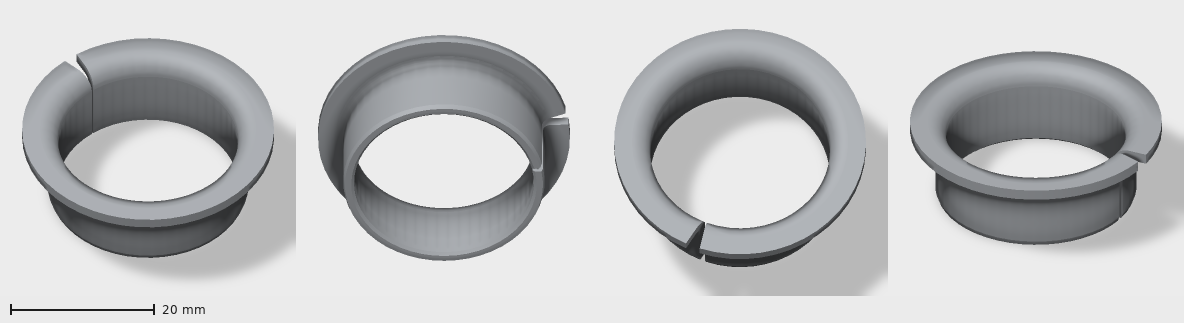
import cadquery as cq
import math

flange_radius = 17.5
sleeve_radius = 14.0
wall = 1.5
height = 11.5

bend_outer_radius = 1.0
bend_inner_radius = bend_outer_radius + wall

outer_chamfer_height = 0.7
outer_chamfer_width = 0.25
inner_chamfer = 0.4

split_width_at_bore = 0.35
split_half_angle = 9.7

bore_radius = sleeve_radius - wall
flange_bottom = height - wall
bend_centre_radius = sleeve_radius + bend_outer_radius
bend_centre_height = flange_bottom - bend_outer_radius


def bend_point(radius):
    """Midpoint of a bend arc, on the diagonal towards the bore and the top."""
    offset = radius * math.sqrt(0.5)
    return (bend_centre_radius - offset, bend_centre_height + offset)


def flanged_sleeve():
    """Revolve the wall section, drawn as (radius, height), around Z."""
    section = (
        cq.Workplane("XZ")
        .moveTo(bore_radius + inner_chamfer, 0)
        .lineTo(sleeve_radius - outer_chamfer_width, 0)
        .lineTo(sleeve_radius, outer_chamfer_height)
        .lineTo(sleeve_radius, bend_centre_height)
        .threePointArc(bend_point(bend_outer_radius), (bend_centre_radius, flange_bottom))
        .lineTo(flange_radius, flange_bottom)
        .lineTo(flange_radius, height)
        .lineTo(bend_centre_radius, height)
        .threePointArc(bend_point(bend_inner_radius), (bore_radius, bend_centre_height))
        .lineTo(bore_radius, inner_chamfer)
        .close()
    )
    ring = section.revolve(360, (0, 0, 0), (0, 1, 0))
    return ring.rotate((0, 0, 0), (0, 0, 1), 180)


def split_wedge():
    """Full-height wedge that opens the ring on the -X side."""
    slope = math.tan(math.radians(split_half_angle))
    half_width_at_bore = split_width_at_bore / 2
    apex_x = -bore_radius + half_width_at_bore / slope
    outer_x = -1.1 * flange_radius
    outer_half_width = (apex_x - outer_x) * slope
    return (
        cq.Workplane("XY")
        .polyline([(apex_x, 0), (outer_x, outer_half_width), (outer_x, -outer_half_width)])
        .close()
        .extrude(height)
    )


result = flanged_sleeve().cut(split_wedge())